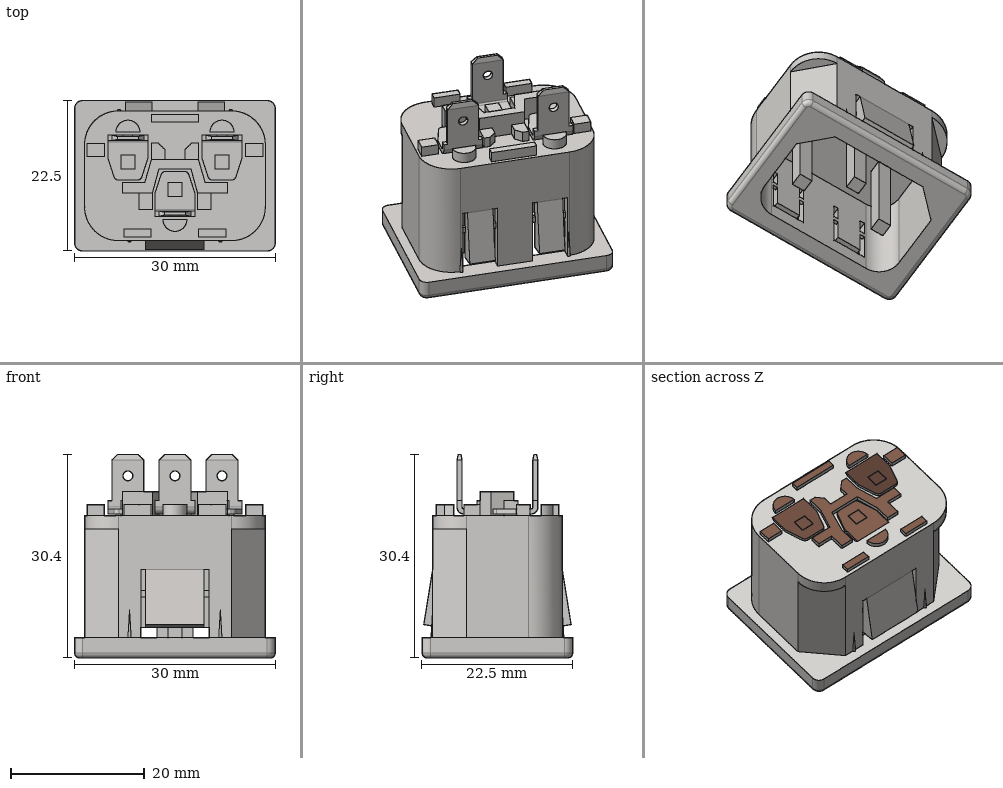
import cadquery as cq

FLANGE_X = 30.0
FLANGE_Y = 22.5
FLANGE_TOP = 3.07
FLANGE_CORNER = 1.22
FLANGE_EDGE_FILLET = 0.75

BODY_X = 27.0
BODY_Y = 19.38
BODY_TOP = 21.3
BODY_CORNER = 5.05
CAP_HEIGHT = 2.0
WALL = 1.5
CAP_BOTTOM = BODY_TOP - CAP_HEIGHT
BACK_FACE = BODY_Y / 2

LATCH_TOP = 13.25
LATCH_TIP_Z = 5.0
LATCH_PROUD = 1.35
LATCH_SLOT = 0.73
FRONT_LATCH_WIDTH = 8.73
BACK_LATCH_WIDTH = 3.95
BACK_LATCH_X = 5.4
BRIDGE_BOTTOM = 9.15
BRIDGE_TOP = 10.13
BRIDGE_DEPTH = 0.5

RIB_RADIUS = 0.25
RIB_TOP = 7.18
FRONT_RIB_X = 6.78
BACK_RIB_X = 8.35

PAD_TOP = BODY_TOP + 1.6
BARRIER_TOP = BODY_TOP + 3.6
END_PAD = (2.6, 1.98)
END_PAD_CENTER = (11.83, 3.85)
FRONT_PAD = (4.05, 1.22)
FRONT_PAD_CENTER = (5.57, -8.55)
BACK_PAD = (7.0, 1.13)
BACK_PAD_CENTER = (0.0, 8.6)
LUG_STOP_RADIUS = 1.8
LUG_STOP_Y = 6.5

BARRIER_FOOT_END = 7.85
BARRIER_FOOT_BACK = -0.97
BARRIER_FOOT_FRONT = -2.6
BARRIER_OUTER_FOOT = 4.5
BARRIER_INNER_FOOT = 3.38
BARRIER_OUTER_CREST = 3.5
BARRIER_INNER_CREST = 2.4
BARRIER_BACK = 2.45
BARRIER_INNER_BACK = 1.0

FOOT_PAD_END = 5.38
FOOT_PAD_FRONT = -5.02
GUSSET_INNER = 1.52
GUSSET_BACK = 4.93
GUSSET_CHAMFER = 1.0

PIN_SIDE = 2.1
PIN_BOTTOM = 2.0
PIN_TOP = 23.5
LINE_PIN_X = 7.03
PIN_Y = 2.05

SHEET = 0.8
LUG_CLEARANCE = 0.2
LUG_BOTTOM = BODY_TOP + LUG_CLEARANCE
LUG_WIDTH = 6.02
LUG_BACK = 6.05
LUG_FRONT = -0.67
LUG_END_WIDTH = 3.83
LUG_TAPER_START = 2.7
LUG_END_RADIUS = 0.8
LUG_BEND_RADIUS = 0.25
SHOULDER_TOP = 23.5
BLADE_WIDTH = 4.8
BLADE_TOP = 30.42
TIP_CHAMFER = 0.85
TIP_BEVEL = 0.18
BLADE_HOLE_DIAMETER = 1.43
BLADE_HOLE_Z = 27.23


def block(x_range, y_range, z_range):
    """Axis-aligned box between the given limits."""
    size = [high - low for low, high in (x_range, y_range, z_range)]
    corner = (x_range[0], y_range[0], z_range[0])
    return cq.Workplane("XY").box(*size, centered=False).translate(corner)


def pad(size, center):
    """Rectangular pad standing on top of the body."""
    return (
        cq.Workplane("XY", origin=(*center, BODY_TOP))
        .rect(*size)
        .extrude(PAD_TOP - BODY_TOP)
    )


def both_sides(solid):
    """The solid together with its mirror image across X = 0."""
    return solid.union(solid.mirror("YZ"))


def rotated_half_turn(solid):
    return solid.rotate((0, 0, 0), (0, 0, 1), 180)


def flange():
    return (
        cq.Workplane("XY")
        .rect(FLANGE_X, FLANGE_Y)
        .extrude(FLANGE_TOP)
        .edges("|Z")
        .fillet(FLANGE_CORNER)
        .faces("<Z")
        .edges()
        .fillet(FLANGE_EDGE_FILLET)
    )


def socket_column(inset, bottom, top):
    """Column with the body outline moved inward by the inset."""
    x = BODY_X / 2
    y = BODY_Y / 2
    straight_x = x - BODY_CORNER
    straight_y = y - BODY_CORNER
    diagonal = BODY_CORNER / 2 ** 0.5
    outline = (
        cq.Workplane("XY", origin=(0, 0, bottom))
        .moveTo(-straight_x, -y)
        .lineTo(straight_x, -y)
        .lineTo(x, -straight_y)
        .lineTo(x, straight_y)
        .threePointArc((straight_x + diagonal, straight_y + diagonal), (straight_x, y))
        .lineTo(-straight_x, y)
        .threePointArc((-straight_x - diagonal, straight_y + diagonal), (-x, straight_y))
        .lineTo(-x, -straight_y)
        .close()
    )
    if inset:
        outline = outline.offset2D(-inset)
    return outline.extrude(top - bottom)


def cap():
    return (
        cq.Workplane("XY", origin=(0, 0, CAP_BOTTOM))
        .rect(BODY_X, BODY_Y)
        .extrude(CAP_HEIGHT)
        .edges("|Z")
        .fillet(BODY_CORNER)
    )


def latch_window(width):
    """Opening in the back wall that holds a latch and its two slots."""
    half = width / 2 + LATCH_SLOT
    return block((-half, half), (BACK_FACE - WALL, BACK_FACE), (FLANGE_TOP, LATCH_TOP))


def latch(width):
    """Sloping latch hanging from the top of its window, with webs across its slots."""
    tip_y = BACK_FACE + LATCH_PROUD
    root_y = BACK_FACE - WALL
    slope = LATCH_PROUD / (LATCH_TOP - LATCH_TIP_Z)
    root_z = LATCH_TIP_Z - slope * (tip_y - root_y)
    tongue = (
        cq.Workplane("YZ", origin=(-width / 2, 0, 0))
        .polyline([(root_y, root_z), (tip_y, LATCH_TIP_Z), (BACK_FACE, LATCH_TOP), (root_y, LATCH_TOP)])
        .close()
        .extrude(width)
    )
    half = width / 2 + LATCH_SLOT
    bridge = block((-half, half), (root_y, root_y + BRIDGE_DEPTH), (BRIDGE_BOTTOM, BRIDGE_TOP))
    return tongue.union(bridge)


def crush_rib(x, y):
    height = RIB_TOP - FLANGE_TOP
    cone = cq.Solid.makeCone(RIB_RADIUS, 0, height, pnt=cq.Vector(x, y, FLANGE_TOP))
    return cq.Workplane("XY").add(cone)


def barrier():
    """Raised wall that bends around the middle contact."""
    half_outline = [
        (0, BARRIER_BACK),
        (BARRIER_OUTER_CREST, BARRIER_BACK),
        (BARRIER_OUTER_FOOT, BARRIER_FOOT_BACK),
        (BARRIER_FOOT_END, BARRIER_FOOT_BACK),
        (BARRIER_FOOT_END, BARRIER_FOOT_FRONT),
        (BARRIER_INNER_FOOT, BARRIER_FOOT_FRONT),
        (BARRIER_INNER_CREST, BARRIER_INNER_BACK),
        (0, BARRIER_INNER_BACK),
    ]
    half = (
        cq.Workplane("XY", origin=(0, 0, BODY_TOP))
        .polyline(half_outline)
        .close()
        .extrude(BARRIER_TOP - BODY_TOP)
    )
    return both_sides(half)


def gusset():
    """Low block behind the barrier with one corner cut off."""
    return block(
        (GUSSET_INNER, BARRIER_OUTER_CREST), (BARRIER_BACK, GUSSET_BACK), (BODY_TOP, PAD_TOP)
    ).edges("|Z and <X and >Y").chamfer(GUSSET_CHAMFER)


def foot_pad():
    """Low block in front of a barrier foot."""
    return block(
        (BARRIER_INNER_FOOT, FOOT_PAD_END), (FOOT_PAD_FRONT, BARRIER_FOOT_FRONT), (BODY_TOP, PAD_TOP)
    )


def lug_stop():
    """Half-round stop behind a lug that stands at X = 0."""
    return (
        cq.Workplane("XY", origin=(0, LUG_STOP_Y, BODY_TOP))
        .moveTo(-LUG_STOP_RADIUS, 0)
        .threePointArc((0, LUG_STOP_RADIUS), (LUG_STOP_RADIUS, 0))
        .close()
        .extrude(PAD_TOP - BODY_TOP)
    )


def pin():
    """Square contact pin of a lug that stands at X = 0."""
    return (
        cq.Workplane("XY", origin=(0, PIN_Y, PIN_BOTTOM))
        .rect(PIN_SIDE, PIN_SIDE)
        .extrude(PIN_TOP - PIN_BOTTOM)
    )


def place_contacts(part):
    """Copies of a part at the two line contacts and, turned round, at the earth contact."""
    return [
        part.translate((-LINE_PIN_X, 0, 0)),
        part.translate((LINE_PIN_X, 0, 0)),
        rotated_half_turn(part),
    ]


def make_housing():
    body = flange().union(socket_column(0, FLANGE_TOP, CAP_BOTTOM)).union(cap())

    for rib_x in (-FRONT_RIB_X, FRONT_RIB_X):
        body = body.union(crush_rib(rib_x, -BACK_FACE))
    for rib_x in (-BACK_RIB_X, BACK_RIB_X):
        body = body.union(crush_rib(rib_x, BACK_FACE))

    body = body.cut(socket_column(WALL, 0, CAP_BOTTOM))

    body = body.cut(rotated_half_turn(latch_window(FRONT_LATCH_WIDTH)))
    body = body.union(rotated_half_turn(latch(FRONT_LATCH_WIDTH)))
    for latch_x in (-BACK_LATCH_X, BACK_LATCH_X):
        body = body.cut(latch_window(BACK_LATCH_WIDTH).translate((latch_x, 0, 0)))
        body = body.union(latch(BACK_LATCH_WIDTH).translate((latch_x, 0, 0)))

    raised = [
        barrier(),
        both_sides(gusset()),
        both_sides(foot_pad()),
        both_sides(pad(END_PAD, END_PAD_CENTER)),
        both_sides(pad(FRONT_PAD, FRONT_PAD_CENTER)),
        pad(BACK_PAD, BACK_PAD_CENTER),
        *place_contacts(lug_stop()),
    ]
    for detail in raised:
        body = body.union(detail)

    for pin_space in place_contacts(pin()):
        body = body.cut(pin_space)
    return body


def lug_side_profile():
    """Bent sheet with a bevelled tip, extruded over the full lug width."""
    inner_face = LUG_BACK - SHEET
    foot_top = LUG_BOTTOM + SHEET
    bevel_start = BLADE_TOP - TIP_CHAMFER
    outer_radius = LUG_BEND_RADIUS + SHEET
    return (
        cq.Workplane("YZ", origin=(-LUG_WIDTH / 2, 0, 0))
        .moveTo(LUG_FRONT, LUG_BOTTOM)
        .lineTo(LUG_BACK - outer_radius, LUG_BOTTOM)
        .radiusArc((LUG_BACK, LUG_BOTTOM + outer_radius), -outer_radius)
        .lineTo(LUG_BACK, bevel_start)
        .lineTo(LUG_BACK - TIP_BEVEL, BLADE_TOP)
        .lineTo(inner_face + TIP_BEVEL, BLADE_TOP)
        .lineTo(inner_face, bevel_start)
        .lineTo(inner_face, foot_top + LUG_BEND_RADIUS)
        .radiusArc((inner_face - LUG_BEND_RADIUS, foot_top), LUG_BEND_RADIUS)
        .lineTo(LUG_FRONT, foot_top)
        .close()
        .extrude(LUG_WIDTH)
    )


def lug_front_outline():
    """Shouldered blade outline, extruded over the full lug depth."""
    depth = LUG_BACK - LUG_FRONT
    foot = block(
        (-LUG_WIDTH / 2, LUG_WIDTH / 2), (LUG_FRONT, LUG_BACK), (LUG_BOTTOM, SHOULDER_TOP)
    )
    blade = (
        block((-BLADE_WIDTH / 2, BLADE_WIDTH / 2), (LUG_FRONT, LUG_BACK), (LUG_BOTTOM, BLADE_TOP))
        .edges("|Y and >Z")
        .chamfer(TIP_CHAMFER)
    )
    hole = (
        cq.Workplane("XZ", origin=(0, LUG_BACK, BLADE_HOLE_Z))
        .circle(BLADE_HOLE_DIAMETER / 2)
        .extrude(depth)
    )
    return foot.union(blade).cut(hole)


def lug_plan_outline():
    """Tapered foot outline with rounded end corners, extruded over the full lug height."""
    wide = LUG_WIDTH / 2
    narrow = LUG_END_WIDTH / 2
    return (
        cq.Workplane("XY", origin=(0, 0, LUG_BOTTOM))
        .polyline(
            [
                (-wide, LUG_BACK),
                (-wide, LUG_TAPER_START),
                (-narrow, LUG_FRONT),
                (narrow, LUG_FRONT),
                (wide, LUG_TAPER_START),
                (wide, LUG_BACK),
            ]
        )
        .close()
        .extrude(BLADE_TOP - LUG_BOTTOM)
        .edges("|Z and <Y")
        .fillet(LUG_END_RADIUS)
    )


def make_lug():
    """Lug whose pin stands at X = 0, with a square hole for the pin."""
    bent_sheet = lug_side_profile().intersect(lug_front_outline()).intersect(lug_plan_outline())
    return bent_sheet.cut(pin())


housing = make_housing()
pins = place_contacts(pin())
lugs = place_contacts(make_lug())

contacts = [part.solids().val() for part in pins + lugs]
result = cq.Compound.makeCompound([housing.solids().val(), *contacts])